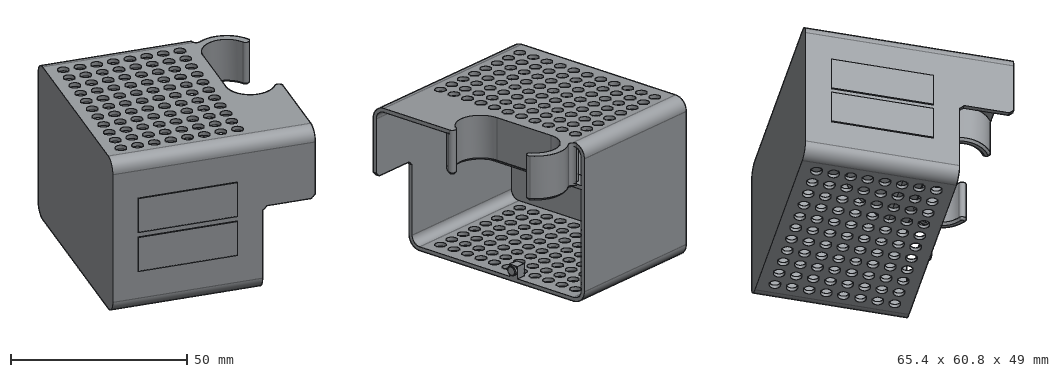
import cadquery as cq
import math

width = 65.0
depth = 45.0
height = 49.0
corner_radius = 4.0
wall = 1.2

total_depth = 60.81
wing_drop = 22.0
wing_chamfer = 1.3

cradle_left = 4.9
cradle_right = 39.4
cradle_radius = 7.2
hook_wall = 2.4
hook_drop = 13.8
hook_chamfer = 0.7
root_fillet = 1.4
lip_radius = hook_wall / 2
outer_radius = cradle_radius + hook_wall
middle_radius = cradle_radius + lip_radius
left_center_x = cradle_left + cradle_radius
right_center_x = cradle_right - cradle_radius
lip_y = total_depth - lip_radius
cradle_center_y = 52.5
cradle_floor_y = cradle_center_y - cradle_radius
lip_offset = math.sqrt(middle_radius**2 - (lip_y - cradle_center_y) ** 2)
right_lip_x = right_center_x + lip_offset
hook_bottom = height - hook_drop

shelf_right = 40.0
shelf_front_y = 39.2
shelf_top = hook_bottom + wall
shelf_left = wall / 2

vent_diameter = 3.3
vent_pitch = 5.0
vent_columns = 11
vent_rows = 8
vent_center_y = depth / 2

pin_diameter = 3.0
pin_length = 1.0
pin_chamfer = 0.25
pin_x = 26.3
pin_z = 3.5
pin_block_depth = 3.0

bar_height = 0.4
bar_front_y = 7.5
bar_rear_y = 37.3
bar_width = 10.9
bar_bottoms = (12.8, 25.3)


def block(x0, x1, y0, y1, z0, z1):
    return cq.Workplane("XY").box(x1 - x0, y1 - y0, z1 - z0, centered=False).translate((x0, y0, z0))


def rounded_bar(inset, y0, y1):
    """Box outline moved inward by inset, running from y0 to y1."""
    bar = block(inset, width - inset, y0, y1, inset, height - inset)
    return bar.edges("|Y").fillet(corner_radius - inset)


def wing_side_outline():
    """Side profile of the box and rear wing, across the full width."""
    wing_bottom = height - wing_drop
    return (
        cq.Workplane("YZ")
        .moveTo(0, 0)
        .lineTo(depth, 0)
        .lineTo(depth, wing_bottom - wing_chamfer)
        .lineTo(depth + wing_chamfer, wing_bottom)
        .lineTo(total_depth - wing_chamfer, wing_bottom)
        .lineTo(total_depth, wing_bottom + wing_chamfer)
        .lineTo(total_depth, height)
        .lineTo(0, height)
        .close()
        .extrude(width)
    )


def make_shell():
    """Rounded box and wing, hollow from behind the front wall to the back."""
    outside = rounded_bar(0, 0, total_depth).intersect(wing_side_outline())
    shell = outside.cut(rounded_bar(wall, wall, total_depth))
    beside_wing = block(0, right_lip_x, depth, total_depth, 0, height)
    return shell.cut(beside_wing)


def make_cradle():
    """Curved wall with two lips, blended into the back of the box at the hook root."""
    lip_rise = lip_y - cradle_center_y
    lip_angle = math.atan2(lip_rise, lip_offset)
    inner_tip_x = cradle_radius * math.cos(lip_angle)
    inner_tip_y = cradle_center_y + cradle_radius * math.sin(lip_angle)
    outer_tip_x = outer_radius * math.cos(lip_angle)
    outer_tip_y = cradle_center_y + outer_radius * math.sin(lip_angle)
    crown_x = lip_offset - lip_radius * math.sin(lip_angle)
    crown_y = lip_y + lip_radius * math.cos(lip_angle)

    root_y = depth + root_fillet
    root_reach = outer_radius + root_fillet
    root_rise = root_y - cradle_center_y
    root_x = left_center_x - math.sqrt(root_reach**2 - root_rise**2)
    blend_share = outer_radius / root_reach
    blend_x = left_center_x + (root_x - left_center_x) * blend_share
    blend_y = cradle_center_y + root_rise * blend_share
    blend_angle = math.atan2(blend_y - root_y, blend_x - root_x)
    fillet_mid_angle = (blend_angle - math.pi / 2) / 2
    fillet_mid = (
        root_x + root_fillet * math.cos(fillet_mid_angle),
        root_y + root_fillet * math.sin(fillet_mid_angle),
    )
    cradle_front_y = cradle_center_y - outer_radius

    cradle = (
        cq.Workplane("XY", origin=(0, 0, hook_bottom))
        .moveTo(root_x, cradle_front_y)
        .lineTo(root_x, depth)
        .threePointArc(fillet_mid, (blend_x, blend_y))
        .threePointArc(
            (left_center_x - outer_radius, cradle_center_y),
            (left_center_x - outer_tip_x, outer_tip_y),
        )
        .threePointArc(
            (left_center_x - crown_x, crown_y),
            (left_center_x - inner_tip_x, inner_tip_y),
        )
        .threePointArc((cradle_left, cradle_center_y), (left_center_x, cradle_floor_y))
        .lineTo(right_center_x, cradle_floor_y)
        .threePointArc(
            (cradle_right, cradle_center_y),
            (right_center_x + inner_tip_x, inner_tip_y),
        )
        .threePointArc(
            (right_center_x + crown_x, crown_y),
            (right_center_x + outer_tip_x, outer_tip_y),
        )
        .threePointArc(
            (right_center_x + outer_radius, cradle_center_y),
            (right_center_x, cradle_front_y),
        )
        .close()
        .extrude(hook_drop)
    )
    under_box_corner = block(0, corner_radius, 0, depth, 0, height)
    return cradle.faces("<Z").edges().chamfer(hook_chamfer).cut(under_box_corner)


def cradle_space():
    """Full-height stadium of open space inside the cradle."""
    length = cradle_right - cradle_left
    return (
        cq.Workplane("XY", origin=(cradle_left + length / 2, cradle_center_y, 0))
        .slot2D(length, 2 * cradle_radius)
        .extrude(height)
    )


def make_shelf():
    """Shelf and ramp spanning from the -X wall to the cradle end, kept inside the box outline."""
    top_wall_underside = height - wall
    ramp_run = top_wall_underside - shelf_top
    ramp_front_y = shelf_front_y - ramp_run
    shelf = (
        cq.Workplane("YZ", origin=(shelf_left, 0, 0))
        .moveTo(depth, shelf_top)
        .lineTo(shelf_front_y, shelf_top)
        .lineTo(ramp_front_y, top_wall_underside)
        .lineTo(ramp_front_y - wall, top_wall_underside)
        .lineTo(shelf_front_y, hook_bottom)
        .lineTo(depth, hook_bottom)
        .close()
        .extrude(shelf_right - shelf_left)
    )
    return shelf.intersect(rounded_bar(shelf_left, 0, depth))


def vent_holes(z0, z1):
    return (
        cq.Workplane("XY", origin=(width / 2, vent_center_y, z0))
        .rarray(vent_pitch, vent_pitch, vent_columns, vent_rows)
        .circle(vent_diameter / 2)
        .extrude(z1 - z0)
    )


def make_pin():
    """Pin pointing backward from a small block standing on the bottom wall."""
    pin_radius = pin_diameter / 2
    mount = block(
        pin_x - pin_radius,
        pin_x + pin_radius,
        depth - pin_block_depth,
        depth,
        wall / 2,
        pin_z + pin_radius,
    )
    pin = cq.Workplane("XZ", origin=(pin_x, depth, pin_z)).circle(pin_radius).extrude(-pin_length)
    return mount.union(pin.faces(">Y").chamfer(pin_chamfer))


def add_side_bars(body):
    """Add two equal raised bars along the outside of the +X wall."""
    for bar_bottom in bar_bottoms:
        bar = block(
            width - wall / 2,
            width + bar_height,
            bar_front_y,
            bar_rear_y,
            bar_bottom,
            bar_bottom + bar_width,
        )
        body = body.union(bar)
    return body


result = make_shell().union(make_shelf()).union(make_cradle()).cut(cradle_space())
result = result.cut(vent_holes(0, wall)).cut(vent_holes(height - wall, height))
result = add_side_bars(result.union(make_pin()))